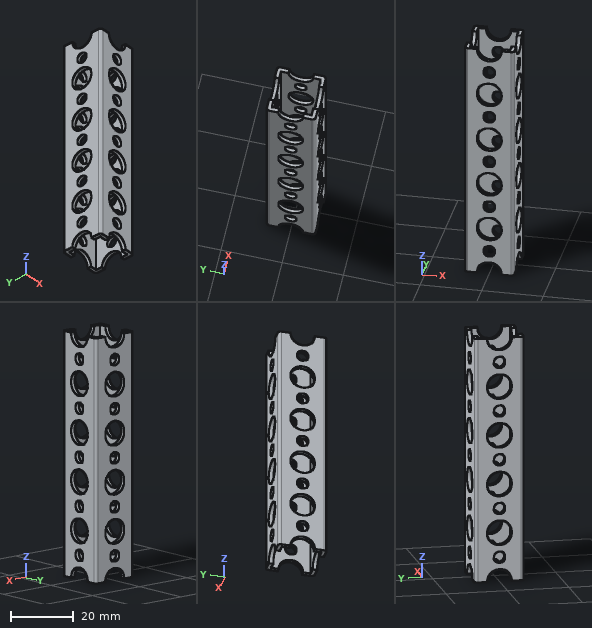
import cadquery as cq

tube_width = 16.0
tube_length = 80.0
wall = 1.5
outer_corner_radius = 1.0

pitch = tube_width
large_hole_diameter = 8.0
small_hole_diameter = 3.7
pitch_count = round(tube_length / pitch)


def square_tube():
    outer = (
        cq.Workplane("XY")
        .box(tube_width, tube_width, tube_length)
        .edges("|Z")
        .fillet(outer_corner_radius)
    )
    bore_width = tube_width - 2 * wall
    bore = cq.Workplane("XY").box(bore_width, bore_width, tube_length)
    return outer.cut(bore)


def cross_holes(plane, diameter, heights):
    """Cylinders crossing the whole tube along the normal of a vertical plane."""
    centres = [(0, height) for height in heights]
    return (
        cq.Workplane(plane)
        .pushPoints(centres)
        .circle(diameter / 2)
        .extrude(tube_width, both=True)
    )


bottom = -tube_length / 2
large_hole_heights = [bottom + i * pitch for i in range(pitch_count + 1)]
small_hole_heights = [bottom + (i + 0.5) * pitch for i in range(pitch_count)]

result = square_tube()
for side_plane in ("XZ", "YZ"):
    result = result.cut(cross_holes(side_plane, large_hole_diameter, large_hole_heights))
    result = result.cut(cross_holes(side_plane, small_hole_diameter, small_hole_heights))